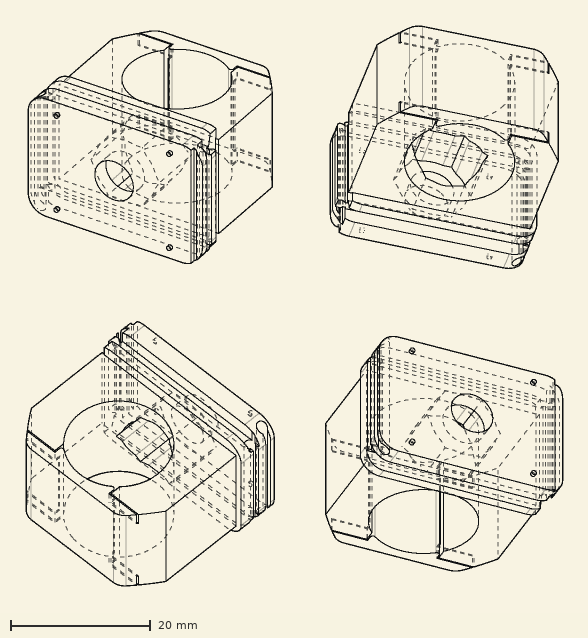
import cadquery as cq
import math

PLATE_WIDTH = 29.0
PLATE_HEIGHT = 20.0
PLATE_THICKNESS = 6.75
PLATE_CORNER_RADIUS = 3.0

GROOVE_FRONT = 3.0
GROOVE_FLOOR_BACK = 4.7
GROOVE_MOUTH_BACK = 5.25
GROOVE_DEPTH = 2.32

JOINT_Y_POSITIONS = (1.25, 3.75)
TAB_REACH = 1.5
TAB_CENTRE_REACH = 1.02
TAB_BEAD_RADIUS = 0.78
TAB_NECK_WIDTH = 0.93
SOCKET_DEPTH_TO_CENTRE = 1.25
SOCKET_RADIUS = 0.8
SOCKET_NECK_WIDTH = 1.0

PIN_DIAMETER = 0.7
PIN_LENGTH = 0.5
PIN_SPACING_X = 19.02
PIN_SPACING_Z = 16.0

CENTRE_HOLE_DIAMETER = 6.5
POCKET_FRONT = 3.0
POCKET_ACROSS_FLATS = 10.0
POCKET_ROUND_DIAMETER = 10.5

BODY_WIDTH = 27.0
BODY_HEIGHT = 16.0
BODY_BACK = 26.5
BODY_OVERLAP = 0.12
SHOULDER_Y = 21.1
FLANK_MID = (11.85, 23.4)
FLANK_END = (10.0, 25.7)
CORNER_MID = (9.28, 26.25)
BACK_HALF_WIDTH = 8.3

BORE_RADIUS = 7.9
BORE_CENTRE_Y = 17.0

SPLIT_GAP = 0.2
SPLIT_DEPTH = 2.03
LIP_HALF_WIDTH = 5.42
LIP_TIP_RADIUS = 0.4
SPLIT_BACK_Y = 24.5

JAW_HALF_WIDTH = LIP_HALF_WIDTH + SPLIT_GAP
PLATE_RIGHT_EDGE = PLATE_WIDTH / 2 - TAB_REACH


def box(x_range, y_range, height):
    """Box between two x and two y values, centred on z = 0."""
    return (
        cq.Workplane("XY")
        .box(x_range[1] - x_range[0], y_range[1] - y_range[0], height)
        .translate((sum(x_range) / 2, sum(y_range) / 2, 0))
    )


def upright_cylinder(x, y, radius, height):
    return cq.Workplane("XY").center(x, y).circle(radius).extrude(height / 2, both=True)


def make_plate_envelope():
    """Rounded slab with the two edge grooves, before its side edges are shaped."""
    slab = (
        cq.Workplane("XZ")
        .rect(PLATE_WIDTH, PLATE_HEIGHT)
        .extrude(-PLATE_THICKNESS)
        .edges("|Y")
        .fillet(PLATE_CORNER_RADIUS)
    )
    edge_z = PLATE_HEIGHT / 2
    floor_z = edge_z - GROOVE_DEPTH
    for side in (1, -1):
        groove = (
            cq.Workplane("YZ")
            .polyline([
                (GROOVE_FRONT, side * floor_z),
                (GROOVE_FLOOR_BACK, side * floor_z),
                (GROOVE_MOUTH_BACK, side * edge_z),
                (GROOVE_FRONT, side * edge_z),
            ])
            .close()
            .extrude(PLATE_WIDTH / 2, both=True)
        )
        slab = slab.cut(groove)
    return slab


def make_plate():
    """Plate with sockets on its -X edge and beaded tabs on its +X edge."""
    left_edge = -PLATE_WIDTH / 2
    socket_x = left_edge + SOCKET_DEPTH_TO_CENTRE
    bead_x = PLATE_RIGHT_EDGE + TAB_CENTRE_REACH

    outline = box((left_edge, PLATE_RIGHT_EDGE), (0, PLATE_THICKNESS), PLATE_HEIGHT)
    for y in JOINT_Y_POSITIONS:
        tab_neck = (y - TAB_NECK_WIDTH / 2, y + TAB_NECK_WIDTH / 2)
        socket_neck = (y - SOCKET_NECK_WIDTH / 2, y + SOCKET_NECK_WIDTH / 2)
        outline = (
            outline
            .union(box((0, bead_x), tab_neck, PLATE_HEIGHT))
            .union(upright_cylinder(bead_x, y, TAB_BEAD_RADIUS, PLATE_HEIGHT))
            .cut(box((left_edge, socket_x), socket_neck, PLATE_HEIGHT))
            .cut(upright_cylinder(socket_x, y, SOCKET_RADIUS, PLATE_HEIGHT))
        )
    return make_plate_envelope().intersect(outline)


def make_body():
    """Clamp block with bowed flanks and rounded back corners."""
    half_width = BODY_WIDTH / 2
    front = PLATE_THICKNESS - BODY_OVERLAP
    return (
        cq.Workplane("XY")
        .moveTo(-half_width, front)
        .lineTo(half_width, front)
        .lineTo(half_width, SHOULDER_Y)
        .threePointArc(FLANK_MID, FLANK_END)
        .threePointArc(CORNER_MID, (BACK_HALF_WIDTH, BODY_BACK))
        .lineTo(-BACK_HALF_WIDTH, BODY_BACK)
        .threePointArc((-CORNER_MID[0], CORNER_MID[1]), (-FLANK_END[0], FLANK_END[1]))
        .threePointArc((-FLANK_MID[0], FLANK_MID[1]), (-half_width, SHOULDER_Y))
        .close()
        .extrude(BODY_HEIGHT / 2, both=True)
    )


def bore_y(x):
    """Y of the back half of the bore wall at a given x."""
    return BORE_CENTRE_Y + math.sqrt(BORE_RADIUS**2 - x**2)


TIP_X = LIP_HALF_WIDTH - LIP_TIP_RADIUS
TIP_Y = BORE_CENTRE_Y + math.sqrt((BORE_RADIUS + LIP_TIP_RADIUS) ** 2 - TIP_X**2)


def make_notch(side):
    """Full-height relief between a jaw and the rounded tip of the lip."""
    tip_scale = BORE_RADIUS / (BORE_RADIUS + LIP_TIP_RADIUS)
    bore_touch = (TIP_X * tip_scale, BORE_CENTRE_Y + (TIP_Y - BORE_CENTRE_Y) * tip_scale)
    to_bore = math.atan2(bore_touch[1] - TIP_Y, bore_touch[0] - TIP_X)
    mid_angle = to_bore / 2
    tip_mid = (
        TIP_X + LIP_TIP_RADIUS * math.cos(mid_angle),
        TIP_Y + LIP_TIP_RADIUS * math.sin(mid_angle),
    )
    notch = (
        cq.Workplane("XY")
        .moveTo(*bore_touch)
        .threePointArc(tip_mid, (LIP_HALF_WIDTH, TIP_Y))
        .lineTo(JAW_HALF_WIDTH, TIP_Y)
        .lineTo(JAW_HALF_WIDTH, bore_y(JAW_HALF_WIDTH))
        .lineTo(TIP_X, BORE_CENTRE_Y)
        .close()
        .extrude(BODY_HEIGHT / 2, both=True)
    )
    return notch if side > 0 else notch.mirror("YZ")


def make_split(side):
    """Shallow L-shaped slit, cut into the top and bottom faces of the body."""
    slit_front = SPLIT_BACK_Y - SPLIT_GAP
    x_inner = sorted((side * LIP_HALF_WIDTH, side * JAW_HALF_WIDTH))
    x_outer = sorted((side * LIP_HALF_WIDTH, side * BODY_WIDTH / 2))
    slit = box(x_inner, (TIP_Y, SPLIT_BACK_Y), BODY_HEIGHT).union(
        box(x_outer, (slit_front, SPLIT_BACK_Y), BODY_HEIGHT)
    )
    core = box(
        (-BODY_WIDTH / 2, BODY_WIDTH / 2), (0, BODY_BACK), BODY_HEIGHT - 2 * SPLIT_DEPTH
    )
    return slit.cut(core)


def make_centre_opening():
    """Bolt hole plus a pocket: a hexagon with flats at top and bottom, merged with a circle."""
    hole = cq.Workplane("XZ").circle(CENTRE_HOLE_DIAMETER / 2).extrude(-BORE_CENTRE_Y)
    pocket_plane = cq.Workplane("XZ", origin=(0, POCKET_FRONT, 0))
    pocket_length = BORE_CENTRE_Y - POCKET_FRONT
    across_corners = POCKET_ACROSS_FLATS / math.cos(math.pi / 6)
    hexagon = pocket_plane.polygon(6, across_corners).extrude(-pocket_length)
    round_pocket = pocket_plane.circle(POCKET_ROUND_DIAMETER / 2).extrude(-pocket_length)
    return hole.union(hexagon).union(round_pocket)


def make_pins():
    return (
        cq.Workplane("XZ")
        .rarray(PIN_SPACING_X, PIN_SPACING_Z, 2, 2)
        .circle(PIN_DIAMETER / 2)
        .extrude(PIN_LENGTH)
    )


body = make_body().cut(upright_cylinder(0, BORE_CENTRE_Y, BORE_RADIUS, BODY_HEIGHT))
for side in (1, -1):
    body = body.cut(make_notch(side)).cut(make_split(side))

result = make_plate().union(body).cut(make_centre_opening()).union(make_pins())